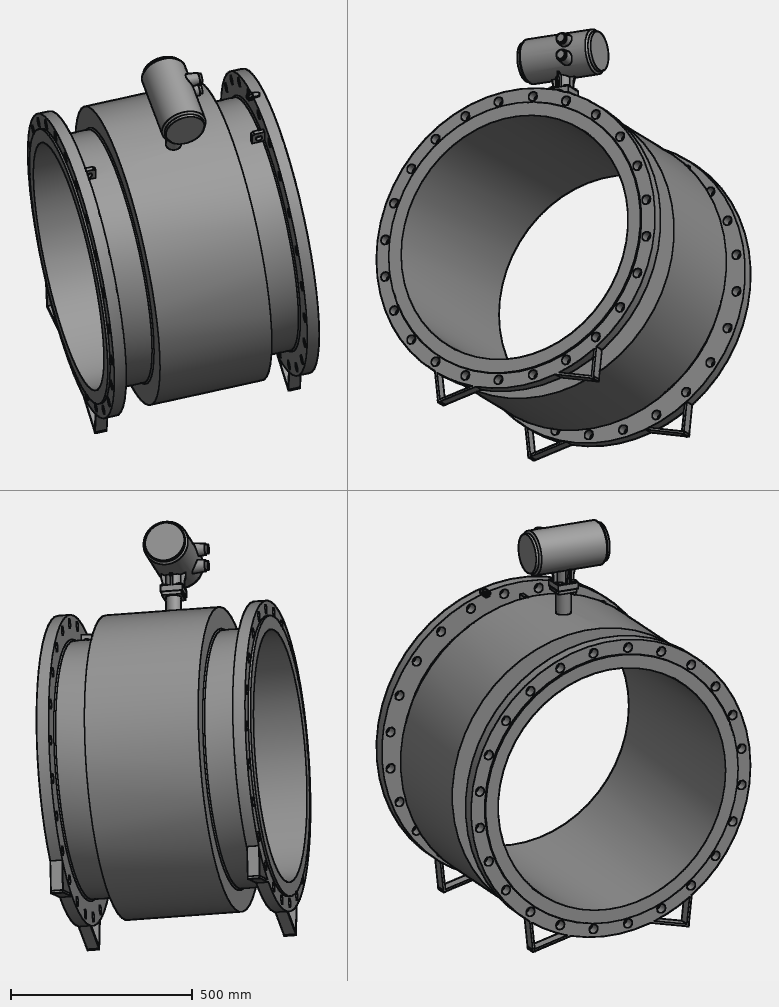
import cadquery as cq
import math


bore_diameter = 698.0
neck_diameter = 714.0
weld_size = 5.0
housing_diameter = 842.0
housing_length = 320.0
face_to_face = 600.0
overall_height = 1112.0

flange_diameter = 858.0
flange_thickness = 35.0
raised_face_diameter = 775.0
raised_face_height = 7.0
bolt_count = 24
bolt_hole_diameter = 26.0
bolt_circle_diameter = 811.0

lug_thickness = 11.0
lug_length = 36.0
lug_top = 394.0
lug_chamfer = 7.0
lug_hole_diameter = 18.0
lug_hole_offset = 16.0
lug_hole_height = 373.0

foot_width = 33.0
foot_strip_thickness = 7.0
foot_corner = (239.0, -440.0)
foot_outer_end = (249.0, -348.0)
foot_inner_end = (117.0, -410.0)

terminal_x = -112.0
terminal_width = 20.0
terminal_thickness = 7.0
terminal_overlap = 20.0
ground_screw_corners = 21.0
ground_screw_length = 13.0
ground_stud_diameter = 8.0
ground_stud_length = 3.0

stem_diameter = 42.0
stem_embed = 11.0
adapter_bottom = 485.0
adapter_height = 10.0
adapter_width = 56.0
plate_width = 61.0
plate_height = 18.0
collar_diameter = 42.0
rib_thickness = 6.0
rib_top_reach = 35.0
rib_flare_height = 16.0
plate_screw_diameter = 17.0
plate_screw_height = 3.0
plate_screw_offset = 21.0

case_diameter = 126.0
case_left = -111.0
case_right = 116.0
cap_face_diameter = 110.0
cap_shoulder_diameter = 113.0
cap_rim_length = 8.0
cap_length = 13.0

gland_x = -36.0
gland_spacing = 48.0
gland_root_diameter = 39.0
gland_end_diameter = 32.0
gland_root_y = 50.0
gland_end_y = 82.0
gland_tip_diameter = 26.0
gland_tip_length = 8.0

half_length = face_to_face / 2
flange_outer_y = half_length - raised_face_height
flange_inner_y = flange_outer_y - flange_thickness
flange_radius = flange_diameter / 2
case_radius = case_diameter / 2
case_center_z = foot_corner[1] + overall_height - case_radius
plate_bottom = adapter_bottom + adapter_height
plate_top = plate_bottom + plate_height


def disc_along_y(diameter, start, end):
    """Solid cylinder on the pipe axis between two Y stations."""
    plane = cq.Workplane("XZ", origin=(0, start, 0))
    return plane.circle(diameter / 2).extrude(start - end)


def block(size_x, size_y, bottom, top):
    """Rectangular block centred on the Z axis."""
    plane = cq.Workplane("XY", origin=(0, 0, bottom))
    return plane.rect(size_x, size_y).extrude(top - bottom)


def post(diameter, bottom, top):
    """Cylinder on the Z axis."""
    plane = cq.Workplane("XY", origin=(0, 0, bottom))
    return plane.circle(diameter / 2).extrude(top - bottom)


def weld_bead(root_y, tip_y):
    """Conical bead on a neck, widest at root_y and fading out at tip_y."""
    neck_radius = neck_diameter / 2
    return (
        cq.Workplane("XY")
        .moveTo(0, root_y)
        .lineTo(neck_radius + weld_size, root_y)
        .lineTo(neck_radius, tip_y)
        .lineTo(0, tip_y)
        .close()
        .revolve(360, (0, 0, 0), (0, 1, 0))
    )


def rear_flange():
    """Flange ring with its raised face and the weld bead at its inner side."""
    ring = disc_along_y(flange_diameter, flange_inner_y, flange_outer_y)
    face = disc_along_y(raised_face_diameter, flange_inner_y, half_length)
    bead = weld_bead(flange_inner_y, flange_inner_y - weld_size)
    return ring.union(face).union(bead)


def meter_tube():
    """Neck, coil housing and both flanges, still without the bore."""
    housing_end_y = housing_length / 2
    body = disc_along_y(neck_diameter, -flange_outer_y, flange_outer_y)
    body = body.union(disc_along_y(housing_diameter, -housing_end_y, housing_end_y))
    for end_part in (rear_flange(), weld_bead(housing_end_y, housing_end_y + weld_size)):
        body = body.union(end_part).union(end_part.mirror("XZ"))
    return body


def bolt_holes(inner_y, outer_y):
    """Bolt pattern of one flange, with no hole on the vertical centre line."""
    half_step = 180 / bolt_count
    return (
        cq.Workplane("XZ", origin=(0, inner_y, 0))
        .polarArray(bolt_circle_diameter / 2, half_step, 360, bolt_count)
        .circle(bolt_hole_diameter / 2)
        .extrude(inner_y - outer_y)
    )


def lifting_lug():
    """Drilled lug standing on the rear neck against the flange."""
    free_y = flange_inner_y - lug_length
    root_z = (bore_diameter + neck_diameter) / 4
    hole_y = flange_inner_y - lug_hole_offset
    return (
        cq.Workplane("YZ", origin=(-lug_thickness / 2, 0, 0))
        .moveTo(flange_inner_y, root_z)
        .lineTo(free_y, root_z)
        .lineTo(free_y, lug_top - lug_chamfer)
        .lineTo(free_y + lug_chamfer, lug_top)
        .lineTo(flange_inner_y, lug_top)
        .close()
        .moveTo(hole_y, lug_hole_height)
        .circle(lug_hole_diameter / 2)
        .extrude(lug_thickness)
    )


def strip(start, end):
    """Flat strip in the XZ plane; its thickness lies left of start-to-end."""
    run_x = end[0] - start[0]
    run_z = end[1] - start[1]
    length = math.hypot(run_x, run_z)
    shift_x = -run_z / length * foot_strip_thickness
    shift_z = run_x / length * foot_strip_thickness
    outline = [
        start,
        end,
        (end[0] + shift_x, end[1] + shift_z),
        (start[0] + shift_x, start[1] + shift_z),
    ]
    plane = cq.Workplane("XZ", origin=(0, flange_outer_y, 0))
    return plane.polyline(outline).close().extrude(foot_width)


def foot():
    """Two strips that meet at the ground corner and end just inside the flange rim."""
    return strip(foot_corner, foot_outer_end).union(strip(foot_inner_end, foot_corner))


def grounding_terminal():
    """Round-ended tag along the flange rim with a hexagonal screw behind the flange."""
    tilt = math.degrees(math.asin(-terminal_x / flange_radius))
    tag_end_y = flange_inner_y - ground_screw_length
    tag_start_y = flange_inner_y + terminal_overlap
    round_y = tag_start_y - terminal_width / 2
    tag = (
        cq.Workplane("XY", origin=(0, 0, flange_radius - terminal_thickness / 2))
        .moveTo(-terminal_width / 2, tag_end_y)
        .lineTo(terminal_width / 2, tag_end_y)
        .lineTo(terminal_width / 2, round_y)
        .threePointArc((0, round_y + terminal_width / 2), (-terminal_width / 2, round_y))
        .close()
        .extrude(terminal_thickness)
    )
    screw_plane = cq.Workplane("XZ", origin=(0, flange_inner_y, flange_radius))
    screw = screw_plane.polygon(6, ground_screw_corners).extrude(ground_screw_length)
    stud = screw_plane.circle(ground_stud_diameter / 2).extrude(ground_screw_length + ground_stud_length)
    return tag.union(screw).union(stud).rotate((0, 0, 0), (0, 1, 0), -tilt)


def mounting():
    """Stem, square plates, ribbed collar and corner screws below the case."""
    body = post(stem_diameter, housing_diameter / 2 - stem_embed, plate_bottom)
    body = body.union(block(adapter_width, adapter_width, adapter_bottom, plate_bottom))
    body = body.union(block(plate_width, plate_width, plate_bottom, plate_top))
    body = body.union(post(collar_diameter, plate_top, case_center_z))
    rib_root = plate_width / 2
    rib = (
        cq.Workplane("XZ", origin=(0, rib_thickness / 2, 0))
        .moveTo(-rib_root, plate_top)
        .lineTo(rib_root, plate_top)
        .lineTo(rib_root, plate_top + rib_flare_height)
        .lineTo(rib_top_reach, plate_top + 2 * rib_flare_height)
        .lineTo(rib_top_reach, case_center_z)
        .lineTo(-rib_top_reach, case_center_z)
        .lineTo(-rib_top_reach, plate_top + 2 * rib_flare_height)
        .lineTo(-rib_root, plate_top + rib_flare_height)
        .close()
        .extrude(rib_thickness)
    )
    body = body.union(rib).union(rib.rotate((0, 0, 0), (0, 0, 1), 90))
    screws = (
        cq.Workplane("XY", origin=(0, 0, plate_top))
        .rect(2 * plate_screw_offset, 2 * plate_screw_offset, forConstruction=True)
        .vertices()
        .circle(plate_screw_diameter / 2)
        .extrude(plate_screw_height)
    )
    return body.union(screws)


def transmitter_case():
    """Horizontal case turned about its own axis, with a tapered cap at each end."""
    face_radius = cap_face_diameter / 2
    shoulder_radius = cap_shoulder_diameter / 2
    return (
        cq.Workplane("XZ")
        .moveTo(case_left, 0)
        .lineTo(case_left, -face_radius)
        .lineTo(case_left + cap_rim_length, -shoulder_radius)
        .lineTo(case_left + cap_length, -case_radius)
        .lineTo(case_right - cap_length, -case_radius)
        .lineTo(case_right - cap_rim_length, -shoulder_radius)
        .lineTo(case_right, -face_radius)
        .lineTo(case_right, 0)
        .close()
        .revolve(360, (0, 0, 0), (1, 0, 0))
        .translate((0, 0, case_center_z))
    )


def cable_gland(center_z):
    """Tapered sleeve along +Y from the case, ending in a narrower tip."""
    tip_end_y = gland_end_y + gland_tip_length
    return (
        cq.Workplane("XY")
        .lineTo(gland_root_diameter / 2, 0)
        .lineTo(gland_root_diameter / 2, gland_root_y)
        .lineTo(gland_end_diameter / 2, gland_end_y)
        .lineTo(gland_tip_diameter / 2, gland_end_y)
        .lineTo(gland_tip_diameter / 2, tip_end_y)
        .lineTo(0, tip_end_y)
        .close()
        .revolve(360, (0, 0, 0), (0, 1, 0))
        .translate((gland_x, 0, center_z))
    )


meter = meter_tube()

for attachment in (lifting_lug(), foot(), foot().mirror("YZ")):
    meter = meter.union(attachment).union(attachment.mirror("XZ"))

meter = meter.union(mounting()).union(transmitter_case())
for side in (-1, 1):
    meter = meter.union(cable_gland(case_center_z + side * gland_spacing / 2))

meter = meter.union(grounding_terminal())

bore = disc_along_y(bore_diameter, -half_length, half_length)
rear_holes = bolt_holes(flange_inner_y, flange_outer_y)
result = meter.cut(bore).cut(rear_holes).cut(rear_holes.mirror("XZ"))